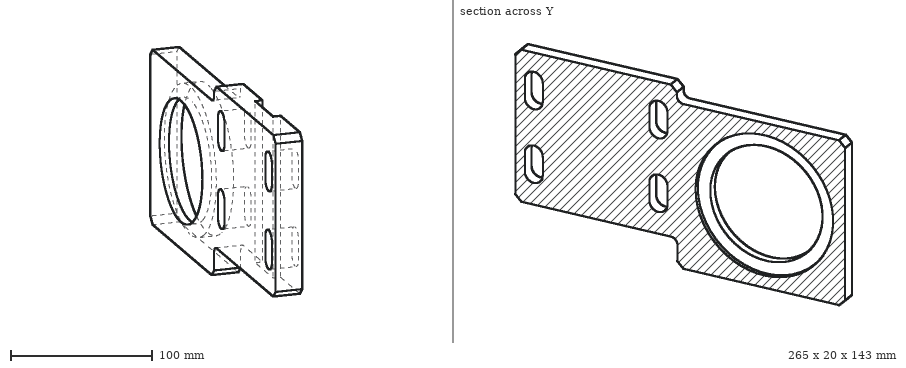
import cadquery as cq

thickness = 20.0
bore_block_width = 135.0
bore_block_height = 130.0
total_length = 265.0
mount_bottom = 23.0
mount_height = 120.0
mount_top = mount_bottom + mount_height
corner_chamfer = 5.0
inner_fillet = 5.0

bore_center = bore_block_height / 2
bore_diameter = 90.0
lip_depth = 7.0
rear_bore_diameter = 110.0

slot_center_x = (bore_block_width + total_length) / 2
slot_pitch_x = 100.0
slot_center_z = 84.0
slot_pitch_z = 58.0
slot_width = 14.0
slot_length = 29.0

channel_width = 38.0
channel_depth = 5.5


def block(x_start, x_end, z_start, z_end):
    """Full-thickness rectangular block spanning the given X and Z ranges."""
    size_x = x_end - x_start
    size_z = z_end - z_start
    return cq.Workplane("XY").box(size_x, thickness, size_z, centered=False).translate((x_start, 0, z_start))


def edge_at(body, x, z):
    """Select the thickness-direction edge passing through (x, z)."""
    return body.edges(cq.selectors.NearestToPointSelector((x, thickness / 2, z)))


def make_plate():
    """Two offset blocks with chamfered outer corners and filleted inner corners."""
    plate = block(0, bore_block_width, 0, bore_block_height)
    plate = plate.union(block(bore_block_width, total_length, mount_bottom, mount_top)).clean()
    outer_corners = [
        (0, 0),
        (0, bore_block_height),
        (bore_block_width, 0),
        (bore_block_width, mount_top),
        (total_length, mount_bottom),
        (total_length, mount_top),
    ]
    inner_corners = [(bore_block_width, mount_bottom), (bore_block_width, bore_block_height)]
    for x, z in outer_corners:
        plate = edge_at(plate, x, z).chamfer(corner_chamfer)
    for x, z in inner_corners:
        plate = edge_at(plate, x, z).fillet(inner_fillet)
    return plate


def bore_cylinder(diameter, y_start):
    """Cylinder on the bore axis from y_start to the back face."""
    plane = cq.Workplane("XZ", origin=(bore_center, y_start, bore_center))
    return plane.circle(diameter / 2).extrude(-(thickness - y_start))


def make_slots():
    """Round-ended slots on a rectangular pattern, through the full thickness."""
    plane = cq.Workplane("XZ", origin=(slot_center_x, 0, slot_center_z))
    centers = plane.rarray(slot_pitch_x, slot_pitch_z, 2, 2)
    return centers.slot2D(slot_length, slot_width, 90).extrude(-thickness)


def make_channel():
    """Straight channel running the full height of the mounting block."""
    channel = cq.Workplane("XY").box(channel_width, channel_depth, mount_height, centered=(True, False, False))
    return channel.translate((slot_center_x, thickness - channel_depth, mount_bottom))


result = make_plate()
result = result.cut(bore_cylinder(bore_diameter, 0))
result = result.cut(bore_cylinder(rear_bore_diameter, lip_depth))
result = result.cut(make_slots())
result = result.cut(make_channel())